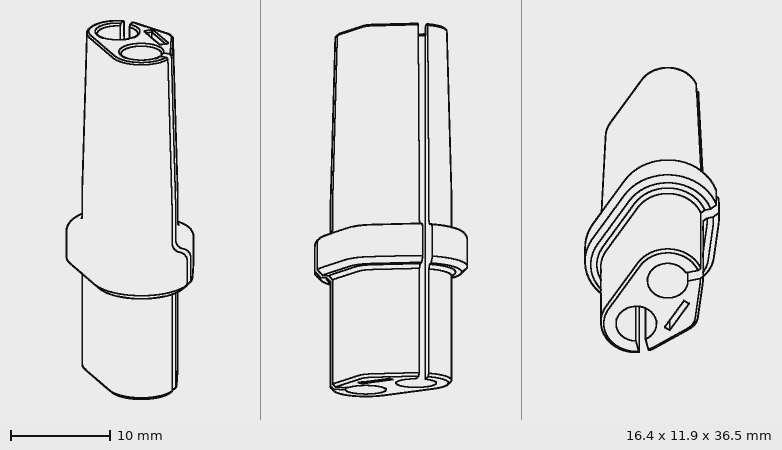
import cadquery as cq
import math

total_height = 36.5
taper_start = 19.53
flange_bottom = 11.45
flange_top = 15.5

bore_offset = 3.0
lobe_radius = 3.58
apex_radius = 1.97
apex_y = 3.18

taper_inset = 0.47
flange_offset = 1.6
shoulder_flat = 0.007
flange_rim_fillet = (flange_offset - shoulder_flat) / 2
flange_root_fillet = flange_rim_fillet
flange_rim_chamfer = 0.6
flange_root_chamfer = 0.4

bottom_chamfer = 0.3
top_chamfer = 0.2
mouth_flare = -45.0

bore_radius = 2.05
bore_chamfer = 0.22
slit_width = 1.0
slit_length = 10.95
slit_angle = 45.0

passage_length = 3.7
passage_width = 0.62
passage_y = 2.95
passage_chamfer = 0.2

height_tolerance = 0.005


def outline(offset, z):
    """Closed body outline at height z, moved outwards by offset."""
    lobe = lobe_radius + offset
    apex = apex_radius + offset
    spacing = math.hypot(bore_offset, apex_y)
    tilt = math.atan2(apex_y, bore_offset) - math.asin((lobe - apex) / spacing)
    nx = math.sin(tilt)
    ny = math.cos(tilt)
    lobe_mid = -tilt / 2
    lobe_mid_x = bore_offset + lobe * math.cos(lobe_mid)
    lobe_mid_y = lobe * math.sin(lobe_mid)
    side_x = bore_offset + lobe * nx
    side_y = lobe * ny
    apex_x = apex * nx
    return (
        cq.Workplane("XY", origin=(0, 0, z))
        .moveTo(-bore_offset, -lobe)
        .lineTo(bore_offset, -lobe)
        .threePointArc((lobe_mid_x, lobe_mid_y), (side_x, side_y))
        .lineTo(apex_x, apex_y + apex * ny)
        .threePointArc((0, apex_y + apex), (-apex_x, apex_y + apex * ny))
        .lineTo(-side_x, side_y)
        .threePointArc((-lobe_mid_x, lobe_mid_y), (-bore_offset, -lobe))
        .close()
    )


def make_flange():
    flange = outline(flange_offset, flange_bottom).extrude(flange_top - flange_bottom)
    flange = flange.faces(">Z").edges().fillet(flange_rim_fillet)
    return flange.faces("<Z").edges().chamfer(flange_rim_chamfer)


def root_edges(solid, z):
    """Edges where the body wall meets the flat flange ring at height z."""
    ring_faces = [
        face
        for face in solid.faces("|Z").vals()
        if abs(face.Center().z - z) < height_tolerance and face.innerWires()
    ]
    return solid.newObject(ring_faces[0].innerWires()[0].Edges())


def make_body():
    straight = outline(0, 0).extrude(taper_start)
    straight = straight.faces("<Z").edges().chamfer(bottom_chamfer)
    body = straight.union(make_flange())
    body = root_edges(body, flange_top).fillet(flange_root_fillet)
    body = root_edges(body, flange_bottom).chamfer(flange_root_chamfer)

    taper_height = total_height - taper_start
    taper_angle = math.degrees(math.atan2(taper_inset, taper_height))
    tapered = outline(0, taper_start).extrude(taper_height, taper=taper_angle)
    tapered = tapered.faces(">Z").edges().chamfer(top_chamfer)
    return body.union(tapered)


def make_bore(side):
    """Chamfered bore with its slit; side is -1 for the left bore and 1 for the right."""
    bore = cq.Workplane("XY").circle(bore_radius).extrude(total_height)
    mouth = (
        cq.Workplane("XY", origin=(0, 0, total_height - bore_chamfer))
        .circle(bore_radius)
        .extrude(bore_chamfer, taper=mouth_flare)
    )
    slit = (
        cq.Workplane("XY")
        .rect(slit_length, slit_width, centered=(False, True))
        .extrude(total_height)
        .rotate((0, 0, 0), (0, 0, 1), 90 - side * slit_angle)
    )
    return bore.union(mouth).union(slit).translate((side * bore_offset, 0, 0))


def make_passage():
    passage = cq.Workplane("XY").rect(passage_length, passage_width).extrude(total_height)
    mouth = (
        cq.Workplane("XY", origin=(0, 0, total_height - passage_chamfer))
        .rect(passage_length, passage_width)
        .extrude(passage_chamfer, taper=mouth_flare)
    )
    return passage.union(mouth).translate((0, passage_y, 0))


result = make_body().cut(make_passage())
for side in (-1, 1):
    result = result.cut(make_bore(side))